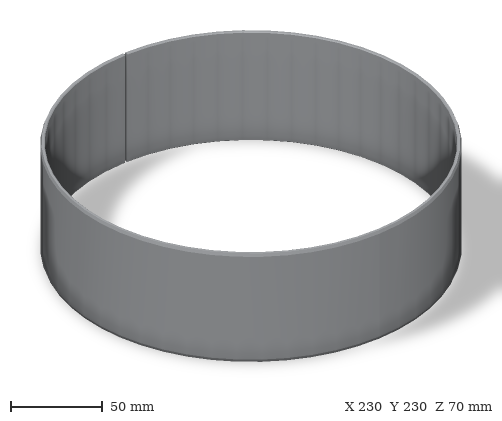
import cadquery as cq

outer_diameter = 230.0
wall = 2.5
height = 70.0
outer_bevel_height = 1.8
outer_bevel_depth = 0.7
inner_bevel_height = 0.5
inner_bevel_depth = 0.5
split_width = 1.5

outer_radius = outer_diameter / 2
inner_radius = outer_radius - wall
half_height = height / 2


def make_ring():
    """Revolve the wall section, bevelled on both edges of each rim."""
    outer_shoulder = half_height - outer_bevel_height
    inner_shoulder = half_height - inner_bevel_height
    rim_outer_radius = outer_radius - outer_bevel_depth
    rim_inner_radius = inner_radius + inner_bevel_depth
    section = [
        (rim_inner_radius, -half_height),
        (rim_outer_radius, -half_height),
        (outer_radius, -outer_shoulder),
        (outer_radius, outer_shoulder),
        (rim_outer_radius, half_height),
        (rim_inner_radius, half_height),
        (inner_radius, inner_shoulder),
        (inner_radius, -inner_shoulder),
    ]
    return cq.Workplane("XZ").polyline(section).close().revolve(360, (0, 0), (0, 1))


def make_split():
    """Full-height slot through the -X side, with one face on the XZ plane."""
    slot = cq.Workplane("XY").box(4 * wall, split_width, height)
    return slot.translate((-outer_radius, split_width / 2, 0))


result = make_ring().cut(make_split())